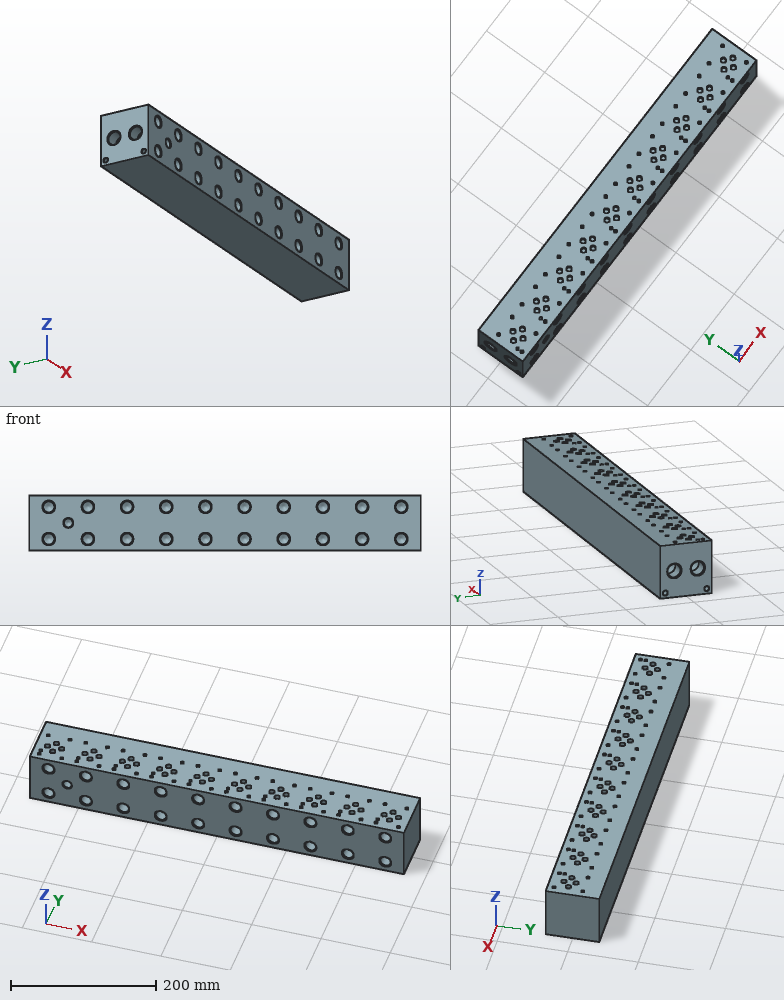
import cadquery as cq
import math

length = 540.0
side = 76.0
half_length = length / 2
half_side = side / 2

station_count = 10
pitch = length / station_count
station_x = [-half_length + pitch * (i + 0.5) for i in range(station_count)]

consumer_port = (18.0, 15.0, 16.0)
gauge_port = (14.0, 12.0, 16.0)
supply_port = (21.5, 19.0, 21.5)
mounting_hole = (7.5, 6.5, 13.0)
bolt_hole = (4.6, 3.65, 8.0)
drill_point_angle = 118.0

drill_toward_plus_y = cq.Plane(origin=(0, 0, 0), xDir=(1, 0, 0), normal=(0, 0, 1))
drill_toward_plus_x = cq.Plane(origin=(0, 0, 0), xDir=(0, 1, 0), normal=(0, 0, -1))
drill_toward_minus_z = cq.Plane(origin=(0, 0, 0), xDir=(1, 0, 0), normal=(0, 1, 0))

consumer_port_z = 22.0
gauge_port_x = -half_length + pitch
supply_port_y = 17.5
mounting_hole_inset = 7.5

interface_y = -9.5
flow_port_diameter = 7.5
flow_port_depth = 6.5
flow_port_dx = 10.0
flow_port_dy = 8.5
bolt_dx_back = 15.5
bolt_dx_front = 16.0
bolt_dy_back = 21.5
bolt_dy_front = 19.0
pin_hole_diameter = 4.0
pin_hole_depth = 4.0
pin_dx = bolt_dx_front
pin_dy = 11.5


def drill_cutter(size, plane):
    """Cutter drilling along the plane's local Y: chamfered mouth, cylinder, drill point."""
    mouth, core, depth = size
    mouth_radius = mouth / 2
    core_radius = core / 2
    chamfer = mouth_radius - core_radius
    point_length = core_radius / math.tan(math.radians(drill_point_angle / 2))
    profile = cq.Workplane(plane).polyline([
        (0, 0),
        (mouth_radius, 0),
        (core_radius, chamfer),
        (core_radius, depth),
        (0, depth + point_length),
    ])
    return profile.close().revolve(360, (0, 0), (0, 1))


def drilled_holes(size, plane, positions):
    """One cutter solid at each position."""
    cutter = drill_cutter(size, plane)
    return [cutter.translate(position).val() for position in positions]


def cut_top_flat_holes(body, diameter, depth, points):
    """Flat-bottomed blind holes in the top face at (x, y) points."""
    cutters = (
        cq.Workplane("XY", origin=(0, 0, half_side))
        .pushPoints(points)
        .circle(diameter / 2)
        .extrude(-depth)
    )
    return body.cut(cutters)


consumer_places = [
    (x, -half_side, z) for x in station_x for z in (-consumer_port_z, consumer_port_z)
]
gauge_places = [(gauge_port_x, -half_side, 0)]

mounting_offset = half_side - mounting_hole_inset
supply_places = [(-half_length, sign * supply_port_y, 0) for sign in (-1, 1)]
mounting_places = [
    (-half_length, sign * mounting_offset, -mounting_offset) for sign in (-1, 1)
]

flow_points = []
bolt_places = []
pin_points = []
bolt_y_back = interface_y + bolt_dy_back
bolt_y_front = interface_y - bolt_dy_front
for x in station_x:
    for sign in (-1, 1):
        flow_points.append((x + sign * flow_port_dx, interface_y))
        flow_points.append((x, interface_y + sign * flow_port_dy))
        bolt_places.append((x + sign * bolt_dx_back, bolt_y_back, half_side))
        bolt_places.append((x + sign * bolt_dx_front, bolt_y_front, half_side))
    pin_points.append((x - pin_dx, interface_y - pin_dy))

drilled_cutters = (
    drilled_holes(consumer_port, drill_toward_plus_y, consumer_places)
    + drilled_holes(gauge_port, drill_toward_plus_y, gauge_places)
    + drilled_holes(supply_port, drill_toward_plus_x, supply_places)
    + drilled_holes(mounting_hole, drill_toward_plus_x, mounting_places)
    + drilled_holes(bolt_hole, drill_toward_minus_z, bolt_places)
)
body = cq.Workplane("XY").box(length, side, side)
body = body.cut(cq.Workplane(obj=cq.Compound.makeCompound(drilled_cutters)))
body = cut_top_flat_holes(body, flow_port_diameter, flow_port_depth, flow_points)
body = cut_top_flat_holes(body, pin_hole_diameter, pin_hole_depth, pin_points)

result = cq.Workplane(obj=body.solids().val())